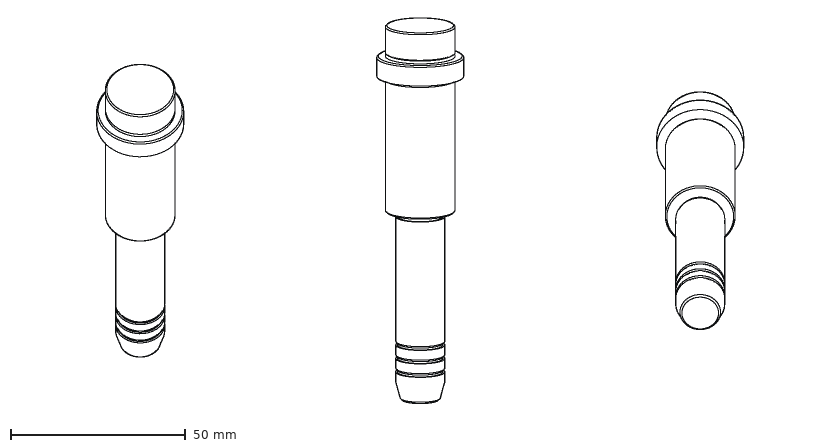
import cadquery as cq
import math

total_height = 110.0

head_radius = 10.0
collar_radius = 12.48
neck_radius = 9.4
edge_chamfer = 0.4
head_height = 8.0
collar_top = total_height - 9.0
collar_bottom = total_height - 15.0
body_top = total_height - 16.0
body_bottom = total_height - 54.8
neck_chamfer = head_radius - neck_radius

pin_radius = 7.0
undercut_radius = 6.5
undercut_height = 1.4
taper_height = 5.2
taper_angle = 15.0
tip_chamfer = 0.5

groove_count = 3
groove_pitch = 4.0
lowest_groove = 8.1
groove_depth = 0.5
groove_floor = 0.5


def cylinder(radius, bottom, top):
    """Upright cylinder on the part axis between two heights."""
    return cq.Workplane("XY").workplane(offset=bottom).circle(radius).extrude(top - bottom)


def ring_groove(bottom):
    """Ring that cuts a groove with a flat lower side and a 45 degree upper side."""
    floor_radius = pin_radius - groove_depth
    slope_start = bottom + groove_floor
    return (
        cq.Workplane("XZ")
        .moveTo(pin_radius, bottom)
        .lineTo(floor_radius, bottom)
        .lineTo(floor_radius, slope_start)
        .lineTo(pin_radius, slope_start + groove_depth)
        .close()
        .revolve(360, (0, 0, 0), (0, 1, 0))
    )


head = cylinder(head_radius, total_height - head_height, total_height)
head = head.faces(">Z").edges().chamfer(edge_chamfer)
neck = cylinder(neck_radius, body_top - neck_chamfer, total_height - edge_chamfer)
collar = cylinder(collar_radius, collar_bottom, collar_top)
collar = collar.faces(">Z").edges().chamfer(edge_chamfer)

flare = cylinder(head_radius, collar_bottom, collar_top + neck_chamfer)
flare = flare.faces(">Z").edges().chamfer(neck_chamfer)

body = cylinder(head_radius, body_bottom, body_top + neck_chamfer)
body = body.faces(">Z").edges().chamfer(neck_chamfer)
body = body.faces("<Z").edges().chamfer(edge_chamfer)

pin_top = body_bottom - undercut_height
tip_radius = pin_radius - (taper_height - tip_chamfer) * math.tan(math.radians(taper_angle))
pin = (
    cq.Workplane("XZ")
    .moveTo(0, 0)
    .lineTo(tip_radius - tip_chamfer, 0)
    .lineTo(tip_radius, tip_chamfer)
    .lineTo(pin_radius, taper_height)
    .lineTo(pin_radius, pin_top)
    .lineTo(undercut_radius, pin_top)
    .lineTo(undercut_radius, body_bottom + edge_chamfer)
    .lineTo(0, body_bottom + edge_chamfer)
    .close()
    .revolve(360, (0, 0, 0), (0, 1, 0))
)
for index in range(groove_count):
    pin = pin.cut(ring_groove(lowest_groove + index * groove_pitch))

result = head.union(neck).union(flare).union(collar).union(body).union(pin)